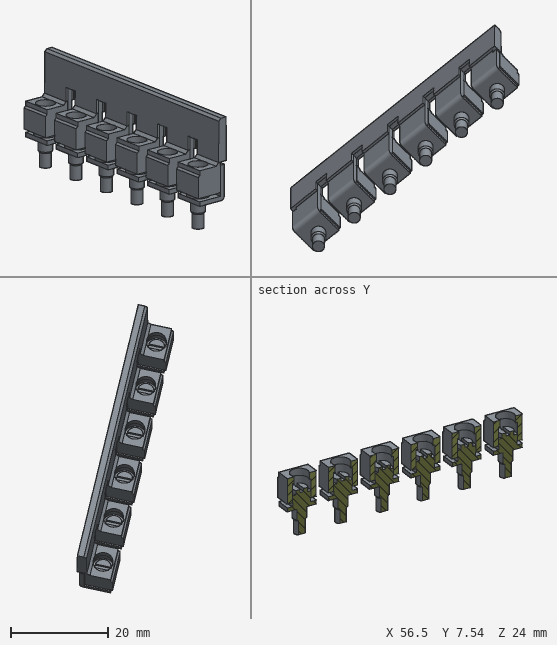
import cadquery as cq
import math


POLES = 6
PITCH = 9.9
LEG_WIDTH = 7.0
LEFT_END = -LEG_WIDTH / 2
STRIP_LENGTH = (POLES - 1) * PITCH + LEG_WIDTH
RIGHT_END = LEFT_END + STRIP_LENGTH

SHEET = 1.0
LEG_FRONT = 3.17
LEG_BACK = LEG_FRONT + SHEET
LEG_CENTRE = (LEG_FRONT + LEG_BACK) / 2
FOOT_FRONT = -2.4
END_INSET = 1.0
SPINE_HEIGHT = 2.0

HEAD_RADIUS = 2.4
HEAD_TOP = 3.5
BOSS_RADIUS = 1.75
BOSS_TOP = 4.5
DRIVER_SLOT_WIDTH = 0.8
DRIVER_SLOT_DEPTH = 0.7
SHANK_RADIUS = 1.55
SHANK_END = -2.4
PIN_RADIUS = 1.25
PIN_SHOULDER = -2.8
PIN_END = -6.0

BAR_BOTTOM = 8.47
BAR_TOP = 18.0
BAR_FOOT_THICKNESS = 2.1
BAR_DRAFT = 0.5
BAR_CHAMFER = 0.55
SLOT_TOP = 11.53

BLOCK_WIDTH = 7.03
BLOCK_FRONT = -2.82
BLOCK_BACK = 3.05
BLOCK_BOTTOM = 1.8
BLOCK_TOP = 7.8
NOSE_DEPTH = 0.42
NOSE_TOP = 6.4
DRIVER_HOLE_RADIUS = 2.05
DRIVER_HOLE_DEPTH = 1.65

SPINE_TOP = SLOT_TOP + SPINE_HEIGHT
POLE_X = [pole * PITCH for pole in range(POLES)]


def box(x_range, y_range, z_range):
    """Box between the given pairs of limits."""
    lows, highs = zip(x_range, y_range, z_range)
    size = [high - low for low, high in zip(lows, highs)]
    return cq.Workplane("XY").box(*size, centered=False).translate(lows)


def cylinder(x, radius, bottom, top):
    """Upright cylinder on the screw line at the given X."""
    return cq.Workplane("XY", origin=(x, 0, bottom)).circle(radius).extrude(top - bottom)


def side_profile(points, left, width):
    """Closed Y-Z outline extruded along +X from the given left end."""
    return cq.Workplane("YZ", origin=(left, 0, 0)).polyline(points).close().extrude(width)



def comb_leg(x):
    """L-shaped leg rising to the spine, with a bend rounded by the sheet thickness."""
    left = x - LEG_WIDTH / 2
    return (
        cq.Workplane("YZ", origin=(left, 0, 0))
        .moveTo(FOOT_FRONT, 0)
        .lineTo(LEG_FRONT, 0)
        .radiusArc((LEG_BACK, SHEET), -SHEET)
        .lineTo(LEG_BACK, SPINE_TOP)
        .lineTo(LEG_FRONT, SPINE_TOP)
        .lineTo(LEG_FRONT, SHEET)
        .lineTo(FOOT_FRONT, SHEET)
        .close()
        .extrude(LEG_WIDTH)
    )


def screw(x):
    """Head with a slotted boss above the foot, shank and reduced pin below it."""
    turned_outline = [
        (0, BOSS_TOP),
        (BOSS_RADIUS, BOSS_TOP),
        (BOSS_RADIUS, HEAD_TOP),
        (HEAD_RADIUS, HEAD_TOP),
        (HEAD_RADIUS, SHEET),
        (SHANK_RADIUS, SHEET),
        (SHANK_RADIUS, SHANK_END),
        (PIN_RADIUS, PIN_SHOULDER),
        (PIN_RADIUS, PIN_END),
        (0, PIN_END),
    ]
    turned = cq.Workplane("XZ").polyline(turned_outline).close().revolve(360, (0, 0, 0), (0, 1, 0))
    driver_slot = box(
        (-DRIVER_SLOT_WIDTH / 2, DRIVER_SLOT_WIDTH / 2),
        (-BOSS_RADIUS, BOSS_RADIUS),
        (BOSS_TOP - DRIVER_SLOT_DEPTH, BOSS_TOP),
    )
    return turned.cut(driver_slot).translate((x, 0, 0))


def comb_sheet():
    """Six legs joined by a spine; the outer upper corners are cut back to stay in the housing."""
    sheet = box((LEFT_END, RIGHT_END), (LEG_FRONT, LEG_BACK), (SLOT_TOP, SPINE_TOP))
    for x in POLE_X:
        sheet = sheet.union(comb_leg(x))
    for end in (LEFT_END, RIGHT_END - END_INSET):
        corner = box((end, end + END_INSET), (LEG_FRONT, LEG_BACK), (BLOCK_TOP, SPINE_TOP))
        sheet = sheet.cut(corner)
    return sheet


def build_comb(sheet):
    comb = sheet
    for x in POLE_X:
        comb = comb.union(screw(x))
    return comb



def housing_bar():
    """Drafted bar, chamfered along its front top edge and slotted between poles."""
    half_foot = BAR_FOOT_THICKNESS / 2
    taper = math.tan(math.radians(BAR_DRAFT))
    half_top = half_foot - (BAR_TOP - BAR_BOTTOM) * taper
    half_at_chamfer = half_top + BAR_CHAMFER * taper
    outline = [
        (LEG_CENTRE - half_foot, BAR_BOTTOM),
        (LEG_CENTRE + half_foot, BAR_BOTTOM),
        (LEG_CENTRE + half_top, BAR_TOP),
        (LEG_CENTRE - half_top + BAR_CHAMFER, BAR_TOP),
        (LEG_CENTRE - half_at_chamfer, BAR_TOP - BAR_CHAMFER),
    ]
    bar = side_profile(outline, LEFT_END, STRIP_LENGTH)
    for x in POLE_X[:-1]:
        slot = box(
            (x + LEG_WIDTH / 2, x + PITCH - LEG_WIDTH / 2),
            (LEG_CENTRE - half_foot, LEG_CENTRE + half_foot),
            (BAR_BOTTOM, SLOT_TOP),
        )
        bar = bar.cut(slot)
    return bar


def housing_block(x):
    """Block hanging from the bar, hollowed for the screw head and open above for a screwdriver."""
    bar_front = LEG_CENTRE - BAR_FOOT_THICKNESS / 2
    shoulder = BAR_BOTTOM - BLOCK_TOP
    outline = [
        (BLOCK_FRONT, BLOCK_BOTTOM),
        (BLOCK_BACK, BLOCK_BOTTOM),
        (BLOCK_BACK, BAR_BOTTOM),
        (bar_front, BAR_BOTTOM),
        (bar_front - shoulder, BLOCK_TOP),
        (BLOCK_FRONT + NOSE_DEPTH, BLOCK_TOP),
        (BLOCK_FRONT + NOSE_DEPTH, NOSE_TOP + NOSE_DEPTH),
        (BLOCK_FRONT, NOSE_TOP),
    ]
    block = side_profile(outline, x - LEG_WIDTH / 2, BLOCK_WIDTH)
    cavity_top = BLOCK_TOP - DRIVER_HOLE_DEPTH
    head_cavity = cylinder(x, HEAD_RADIUS, BLOCK_BOTTOM, cavity_top)
    driver_hole = cylinder(x, DRIVER_HOLE_RADIUS, cavity_top, BLOCK_TOP)
    return block.cut(head_cavity).cut(driver_hole)


def build_housing(sheet):
    """Bar and blocks, with a pocket in the bar matching the comb's spine and leg tops."""
    housing = housing_bar()
    for x in POLE_X:
        housing = housing.union(housing_block(x))
    return housing.cut(sheet)


sheet = comb_sheet()
comb = build_comb(sheet)
housing = build_housing(sheet)

result = cq.Compound.makeCompound([housing.solids().val(), comb.solids().val()])